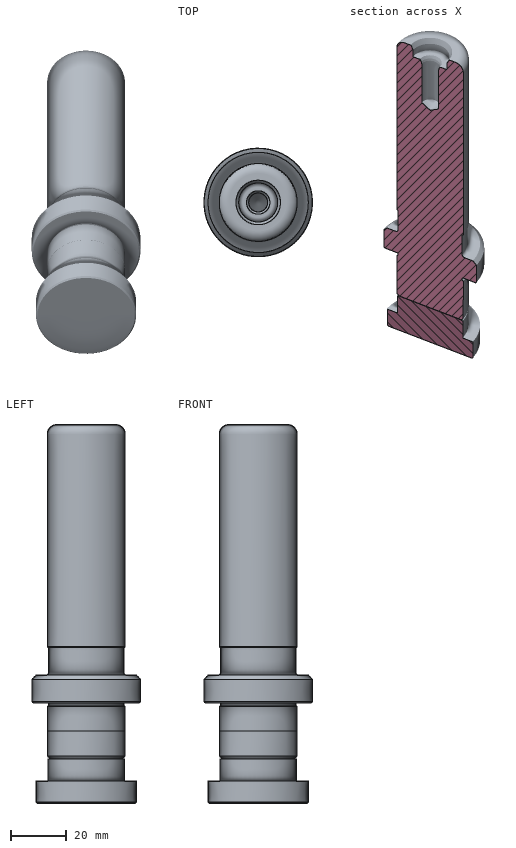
import cadquery as cq
import math

total_height = 136.0
cap_flange_height = 8.0
pin_bottom = 16.0
land_step = 26.0
collar_bottom = 36.0
collar_top = 46.0
guide_bottom = 56.0

guide_radius = 28.0 / 2
relief_radius = 27.0 / 2
collar_radius = 39.0 / 2
tip_fillet = 3.5
collar_top_chamfer = 1.5
shoulder_chamfer = 0.3
land_lead_radius = 27.9 / 2
collar_bottom_chamfer = 0.5
relief_fillet = 1.0
undercut_height = 1.0
land_chamfer = 1.0

recess_mouth_radius = 8.0
recess_floor_radius = 7.0
recess_cone_depth = 2.0
recess_depth = 5.0
bore_mouth_radius = 4.2
bore_throat_radius = 3.6
bore_radius = 3.4
bore_mouth_depth = 1.05
bore_throat_depth = 1.9
bore_depth = 20.0
drill_point_angle = 118.0

cap_flange_radius = 36.0 / 2
cap_neck_radius = 27.5 / 2
cap_chamfer = 0.5


def make_guide_pin():
    """Turned pin: press-fit land, collar, relief and guide shaft with a bored tip."""
    recess_cone_bottom = total_height - recess_cone_depth
    recess_floor = total_height - recess_depth
    bore_mouth_bottom = recess_floor - bore_mouth_depth
    bore_throat_bottom = recess_floor - bore_throat_depth
    bore_bottom = recess_floor - bore_depth
    drill_tip = bore_bottom - bore_radius / math.tan(math.radians(drill_point_angle / 2))
    undercut_bottom = collar_bottom - undercut_height

    profile = (
        cq.Workplane("XZ")
        .moveTo(0, pin_bottom)
        .lineTo(land_lead_radius - land_chamfer, pin_bottom)
        .lineTo(land_lead_radius, pin_bottom + land_chamfer)
        .lineTo(land_lead_radius, land_step)
        .lineTo(guide_radius, land_step)
        .lineTo(guide_radius, undercut_bottom - shoulder_chamfer)
        .lineTo(guide_radius - shoulder_chamfer, undercut_bottom)
        .lineTo(relief_radius, undercut_bottom)
        .lineTo(relief_radius, collar_bottom)
        .lineTo(collar_radius - collar_bottom_chamfer, collar_bottom)
        .lineTo(collar_radius, collar_bottom + collar_bottom_chamfer)
        .lineTo(collar_radius, collar_top - collar_top_chamfer)
        .lineTo(collar_radius - collar_top_chamfer, collar_top)
        .lineTo(relief_radius + relief_fillet, collar_top)
        .radiusArc((relief_radius, collar_top + relief_fillet), relief_fillet)
        .lineTo(relief_radius, guide_bottom)
        .lineTo(guide_radius - shoulder_chamfer, guide_bottom)
        .lineTo(guide_radius, guide_bottom + shoulder_chamfer)
        .lineTo(guide_radius, total_height - tip_fillet)
        .radiusArc((guide_radius - tip_fillet, total_height), -tip_fillet)
        .lineTo(recess_mouth_radius, total_height)
        .lineTo(recess_floor_radius, recess_cone_bottom)
        .lineTo(recess_floor_radius, recess_floor)
        .lineTo(bore_mouth_radius, recess_floor)
        .lineTo(bore_throat_radius, bore_mouth_bottom)
        .lineTo(bore_radius, bore_throat_bottom)
        .lineTo(bore_radius, bore_bottom)
        .lineTo(0, drill_tip)
        .close()
    )
    return profile.revolve(360, (0, 0, 0), (0, 1, 0))


def make_end_cap():
    """Flanged cap whose neck meets the lower face of the pin."""
    profile = (
        cq.Workplane("XZ")
        .lineTo(cap_flange_radius - cap_chamfer, 0)
        .lineTo(cap_flange_radius, cap_chamfer)
        .lineTo(cap_flange_radius, cap_flange_height)
        .lineTo(cap_neck_radius, cap_flange_height)
        .lineTo(cap_neck_radius, pin_bottom)
        .lineTo(0, pin_bottom)
        .close()
    )
    return profile.revolve(360, (0, 0, 0), (0, 1, 0))


guide_pin = make_guide_pin()
end_cap = make_end_cap()
result = cq.Compound.makeCompound([guide_pin.val(), end_cap.val()])